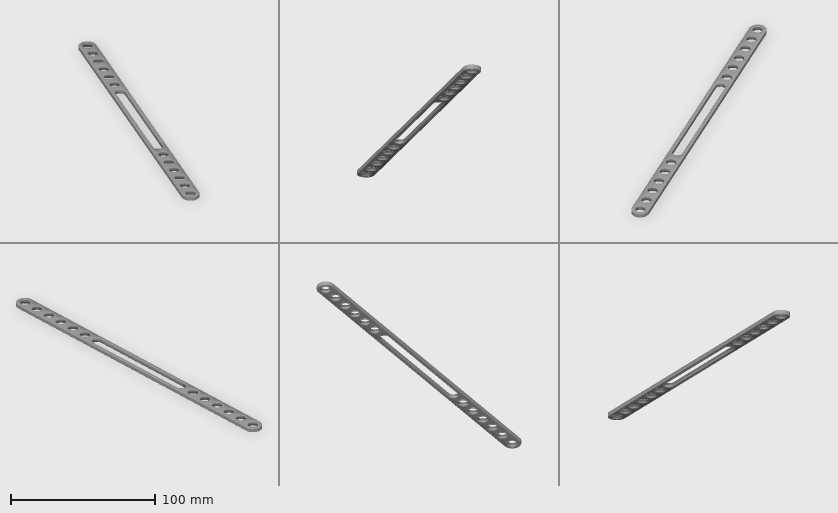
import cadquery as cq

PITCH = 12.5
LENGTH_IN_PITCHES = 20
HOLES_PER_END = 6
THICKNESS = PITCH / 4
HOLE_DIAMETER = 7.0
RIM_DIAMETER = 9.2
EDGE_CHAMFER = 0.3
RECESS_DEPTH = 0.2

WIDTH = PITCH
LENGTH = LENGTH_IN_PITCHES * PITCH
RIM_WIDTH = (RIM_DIAMETER - HOLE_DIAMETER) / 2
END_HOLE_X = (LENGTH - WIDTH) / 2
SLOT_END_X = END_HOLE_X - HOLES_PER_END * PITCH
HOLE_CENTERS = [
    (side * (END_HOLE_X - index * PITCH), 0)
    for side in (-1, 1)
    for index in range(HOLES_PER_END)
]


def make_bar():
    """Plain round-ended bar, centred on the origin."""
    return cq.Workplane("XY").slot2D(LENGTH, WIDTH).extrude(THICKNESS / 2, both=True)


def make_openings(diameter):
    """Full-height solids at every hole and the slot, all with the given width."""
    plane = cq.Workplane("XY")
    holes = plane.pushPoints(HOLE_CENTERS).circle(diameter / 2).extrude(THICKNESS / 2, both=True)
    slot = plane.slot2D(2 * SLOT_END_X + diameter, diameter).extrude(THICKNESS / 2, both=True)
    return holes.union(slot)


def make_top_recess():
    """Shallow field in the top face, leaving a rim along the outline and around each opening."""
    field = (
        cq.Workplane("XY")
        .workplane(offset=THICKNESS / 2 - RECESS_DEPTH)
        .slot2D(LENGTH - 2 * RIM_WIDTH, WIDTH - 2 * RIM_WIDTH)
        .extrude(RECESS_DEPTH)
    )
    return field.cut(make_openings(RIM_DIAMETER))


pierced_bar = make_bar().cut(make_openings(HOLE_DIAMETER))
chamfered_bar = pierced_bar.faces("|Z").edges().chamfer(EDGE_CHAMFER)

top_recess = make_top_recess()
result = chamfered_bar.cut(top_recess).cut(top_recess.mirror("XY"))